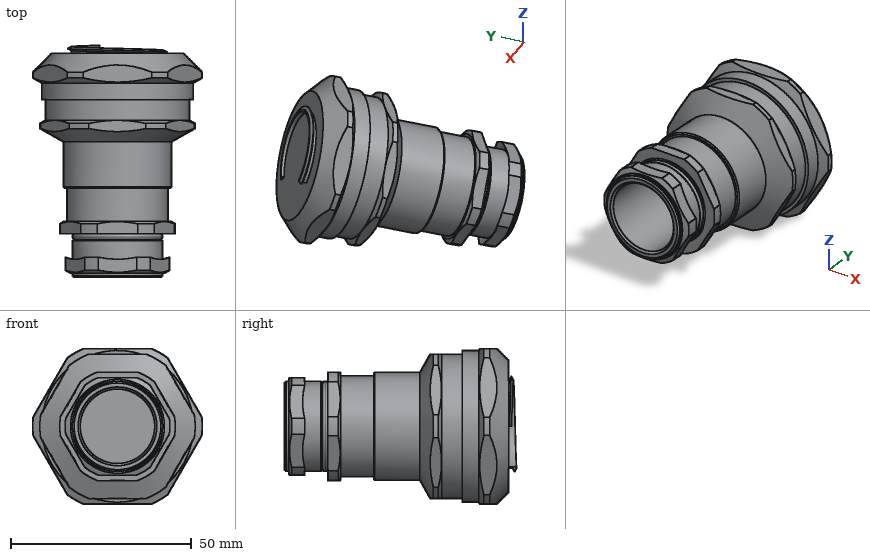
import cadquery as cq
import math

NOSE_RADIUS = 12.5
NOSE_CHAMFER = 0.5
CAP_FACE_Y = 1.13
CAP_RIM_Y = 10.4
CAP_RIM_CHAMFER = 0.3
LOCKNUT_FACE_Y = 12.04
LOCKNUT_BACK_Y = 15.54
NECK_RADIUS = 14.0
SLEEVE_Y = 24.65
SLEEVE_RADIUS = 15.0
SLEEVE_CHAMFER = 0.4
SHOULDER_Y = 37.5
BODY_RADIUS = 20.0
COLLAR_Y = 49.2
COLLAR_RADIUS = 21.0
END_FACE_Y = 62.05

CAP_FLATS = 27.0
CAP_CORNER_DIAMETER = 29.0
CAP_CORNER_LENGTH = 3.6
LOCKNUT_FLATS = 30.0
LOCKNUT_CORNER_DIAMETER = 32.0
LOCKNUT_BACK_RADIUS = 14.8
LOCKNUT_RECESS_RADIUS = 12.8
LOCKNUT_RECESS_DEPTH = 0.5
BODY_FLATS = 40.0
BODY_CORNER_DIAMETER = 43.0
BODY_CORNER_Y = 41.2
BODY_CORNER_LENGTH = 1.4
END_NUT_FLATS = 43.0
END_NUT_CORNER_DIAMETER = 47.0
END_NUT_CORNER_Y = 55.2
END_NUT_CORNER_LENGTH = 1.6
CHAMFER_SLOPE = math.tan(math.radians(30))

CAP_FACE_RADIUS = 13.0
SEAL_SECTION_RADIUS = 0.85
SEAL_Y = 11.3
SEAL_GROOVE_RADIUS = 11.8
BORE_RADIUS = 10.3
BORE_MOUTH_CHAMFER = 0.6
BORE_DEPTH = SHOULDER_Y

RIDGE_PITCH = 2.0
RIDGE_SWEEP_DEGREES = 246.0
RIDGE_CREST_RADIUS = 13.8
RIDGE_ROOT_RADIUS = 12.75
RIDGE_INNER_RADIUS = 12.2
RIDGE_HALF_WIDTH = 0.55
RIDGE_TOP_Y = 64.24
RIDGE_EMBEDMENT = 0.5


def turned(profile):
    """Revolve a closed (radius, y) outline about the Y axis."""
    return cq.Workplane("XY").polyline(profile).close().revolve(360, (0, 0, 0), (0, 1, 0))


def turned_disc(radius, y_start, y_end, start_chamfer=0.0, end_chamfer=0.0):
    """Cylinder on the Y axis with optional 45 degree chamfers on its ends."""
    disc = cq.Workplane("XZ", origin=(0, y_start, 0)).circle(radius).extrude(y_start - y_end)
    if start_chamfer:
        disc = disc.faces("<Y").chamfer(start_chamfer)
    if end_chamfer:
        disc = disc.faces(">Y").chamfer(end_chamfer)
    return disc


def hexagonal(flats, profile):
    """Turned outline trimmed to a hexagon with corners on X and flats facing Z."""
    stations = [y for _, y in profile]
    y_start = min(stations)
    length = max(stations) - y_start
    corner_to_corner = flats / math.cos(math.radians(30))
    prism = cq.Workplane("XZ", origin=(0, y_start, 0)).polygon(6, corner_to_corner).extrude(-length)
    return prism.intersect(turned(profile))


def cap():
    """Nose, hexagon with parallel conical ends, and plain rim."""
    corner = CAP_CORNER_DIAMETER / 2
    corner_y = CAP_FACE_Y + (corner - CAP_FACE_RADIUS) * CHAMFER_SLOPE
    back_y = corner_y + CAP_CORNER_LENGTH
    root_y = back_y - (corner - NOSE_RADIUS) * CHAMFER_SLOPE
    nut = hexagonal(CAP_FLATS, [
        (0, CAP_FACE_Y),
        (CAP_FACE_RADIUS, CAP_FACE_Y),
        (corner, corner_y),
        (corner, back_y),
        (NOSE_RADIUS, root_y),
        (0, root_y),
    ])
    nose = turned_disc(NOSE_RADIUS, 0, CAP_RIM_Y, NOSE_CHAMFER, CAP_RIM_CHAMFER)
    return nose.union(nut)


def seal():
    """Round-section ring seated in the locknut recess, on a narrower groove floor."""
    ring_centre_radius = NOSE_RADIUS - SEAL_SECTION_RADIUS
    recess_floor_y = LOCKNUT_FACE_Y + LOCKNUT_RECESS_DEPTH
    ring = (
        cq.Workplane("XY")
        .center(ring_centre_radius, SEAL_Y)
        .circle(SEAL_SECTION_RADIUS)
        .revolve(360, (-ring_centre_radius, 0, 0), (-ring_centre_radius, 1, 0))
    )
    return turned_disc(SEAL_GROOVE_RADIUS, CAP_RIM_Y, recess_floor_y).union(ring)


def locknut():
    """Hexagon with a recessed flat front and a conical chamfer at the back."""
    corner = LOCKNUT_CORNER_DIAMETER / 2
    recess_floor_y = LOCKNUT_FACE_Y + LOCKNUT_RECESS_DEPTH
    return hexagonal(LOCKNUT_FLATS, [
        (0, recess_floor_y),
        (LOCKNUT_RECESS_RADIUS, recess_floor_y),
        (LOCKNUT_RECESS_RADIUS, LOCKNUT_FACE_Y),
        (corner, LOCKNUT_FACE_Y),
        (corner, LOCKNUT_BACK_Y - (corner - LOCKNUT_BACK_RADIUS) * CHAMFER_SLOPE),
        (LOCKNUT_BACK_RADIUS, LOCKNUT_BACK_Y),
        (0, LOCKNUT_BACK_Y),
    ])


def body():
    """Neck, sleeve, hexagonal shoulder, main barrel and collar."""
    corner = BODY_CORNER_DIAMETER / 2
    back_corner_y = BODY_CORNER_Y + BODY_CORNER_LENGTH
    back_y = back_corner_y + (corner - BODY_RADIUS) * CHAMFER_SLOPE
    shoulder = hexagonal(BODY_FLATS, [
        (0, SHOULDER_Y),
        (SLEEVE_RADIUS, SHOULDER_Y),
        (corner, BODY_CORNER_Y),
        (corner, back_corner_y),
        (BODY_RADIUS, back_y),
        (0, back_y),
    ])
    neck = turned_disc(NECK_RADIUS, LOCKNUT_BACK_Y, SLEEVE_Y)
    sleeve = turned_disc(SLEEVE_RADIUS, SLEEVE_Y, SHOULDER_Y, SLEEVE_CHAMFER)
    barrel = turned_disc(BODY_RADIUS, back_y, COLLAR_Y)
    collar = turned_disc(COLLAR_RADIUS, COLLAR_Y, END_NUT_CORNER_Y)
    return neck.union(sleeve).union(shoulder).union(barrel).union(collar)


def end_nut():
    """Large hexagon with a shallow front chamfer and a 45 degree back cone."""
    corner = END_NUT_CORNER_DIAMETER / 2
    front_y = END_NUT_CORNER_Y - (corner - COLLAR_RADIUS) * CHAMFER_SLOPE
    back_corner_y = END_NUT_CORNER_Y + END_NUT_CORNER_LENGTH
    end_radius = corner - (END_FACE_Y - back_corner_y)
    return hexagonal(END_NUT_FLATS, [
        (0, front_y),
        (COLLAR_RADIUS, front_y),
        (corner, END_NUT_CORNER_Y),
        (corner, back_corner_y),
        (end_radius, END_FACE_Y),
        (0, END_FACE_Y),
    ])


def helical_ridge():
    """Part turn of V ridge that climbs from +X over the +Z side past -X."""
    rise = RIDGE_PITCH * RIDGE_SWEEP_DEGREES / 360
    start_crest_y = RIDGE_TOP_Y - RIDGE_HALF_WIDTH - rise
    foot = END_FACE_Y - RIDGE_EMBEDMENT - start_crest_y - rise
    path = cq.Wire.makeHelix(RIDGE_PITCH, rise, RIDGE_CREST_RADIUS, lefthand=True)
    ridge = (
        cq.Workplane("XZ")
        .polyline([
            (RIDGE_INNER_RADIUS, foot),
            (RIDGE_ROOT_RADIUS, foot),
            (RIDGE_ROOT_RADIUS, -RIDGE_HALF_WIDTH),
            (RIDGE_CREST_RADIUS, 0),
            (RIDGE_ROOT_RADIUS, RIDGE_HALF_WIDTH),
            (RIDGE_INNER_RADIUS, RIDGE_HALF_WIDTH),
        ])
        .close()
        .sweep(cq.Workplane(path), isFrenet=True)
    )
    return ridge.rotate((0, 0, 0), (1, 0, 0), -90).translate((0, start_crest_y, 0))


def bore():
    """Blind bore from the nose with a chamfered mouth."""
    return turned([
        (0, 0),
        (BORE_RADIUS + BORE_MOUTH_CHAMFER, 0),
        (BORE_RADIUS, BORE_MOUTH_CHAMFER),
        (BORE_RADIUS, BORE_DEPTH),
        (0, BORE_DEPTH),
    ])


result = (
    cap()
    .union(seal())
    .union(locknut())
    .union(body())
    .union(end_nut())
    .union(helical_ridge())
    .cut(bore())
)